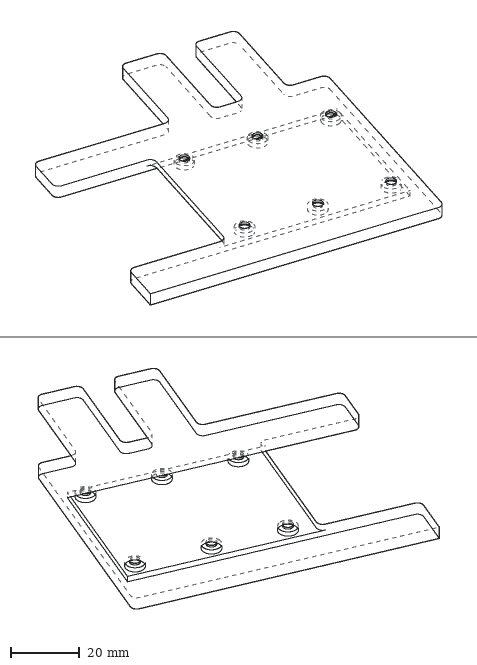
import cadquery as cq
length = 106.0
depth = 96.0
thickness = 4.0

finger_length = 32.0
finger_width = 14.0
tab_count = 2
tab_gap = 10.0
tab_setback = 13.0
corner_radius = 2.0

floor_thickness = 2.1
back_wall = 4.0

hole_diameter = 3.2
counterbore_diameter = 6.0
counterbore_web = 0.6
hole_columns = 2
hole_rows = 3
hole_spacing_x = 38.0
hole_spacing_y = 24.0

body_left = finger_length
body_front = finger_length
body_length = length - finger_length
bay_left = body_left + finger_width
bay_right = length - finger_width
bay_width = bay_right - bay_left
bay_center_x = (bay_left + bay_right) / 2
hole_center_y = (body_front + depth) / 2


def block(left, front, size_x, size_y, height):
    """Rectangular block standing on the underside plane."""
    return cq.Workplane("XY").box(size_x, size_y, height, centered=False).translate((left, front, 0))


def make_plate():
    """Body with tabs and legs, rounded at every corner except the front right one."""
    plate = block(body_left, 0, body_length, depth, thickness)
    plate = plate.cut(block(bay_left, 0, bay_width, body_front, thickness))
    for index in range(tab_count):
        tab_front = depth - tab_setback - finger_width - index * (finger_width + tab_gap)
        plate = plate.union(block(0, tab_front, bay_left, finger_width, thickness))
    sharp_corner = cq.selectors.NearestToPointSelector((length, 0, thickness / 2))
    rounded_edges = cq.selectors.SubtractSelector(cq.selectors.ParallelDirSelector(cq.Vector(0, 0, 1)), sharp_corner)
    return plate.edges(rounded_edges).fillet(corner_radius)


def make_recess():
    """Underside recess, as wide as the bay, from the bay to the back wall."""
    recess_front = body_front - finger_width
    recess_depth = depth - back_wall - recess_front
    return block(bay_left, recess_front, bay_width, recess_depth, thickness - floor_thickness)


def hole_cylinders(diameter, height):
    """Grid of cylinders rising from the underside plane, centered on the body behind the bay."""
    return (
        cq.Workplane("XY")
        .center(bay_center_x, hole_center_y)
        .rarray(hole_spacing_x, hole_spacing_y, hole_columns, hole_rows)
        .circle(diameter / 2)
        .extrude(height)
    )


result = (
    make_plate()
    .cut(make_recess())
    .cut(hole_cylinders(hole_diameter, thickness))
    .cut(hole_cylinders(counterbore_diameter, thickness - counterbore_web))
)